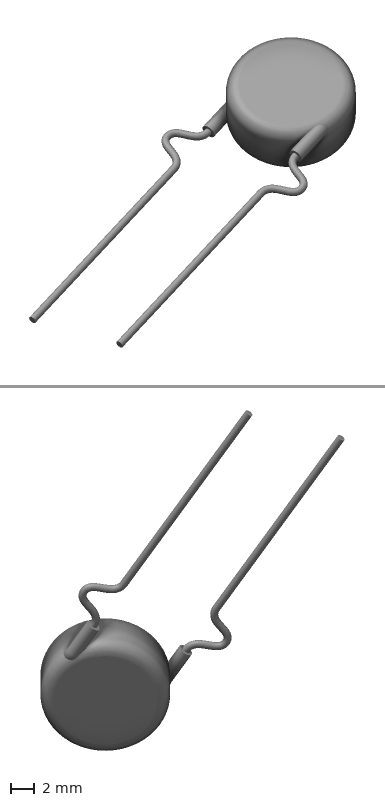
import cadquery as cq

overall_length = 36
overall_width = 14.85

disc_radius = 5.5
disc_height = 5.1
disc_edge_radius = 1.08

sleeve_diameter = 1.25
sleeve_radius = sleeve_diameter / 2
sleeve_length = 3.15
sleeve_bend_radius = 0.65
sleeve_bend_angle = 60
sleeve_end_y = -disc_radius
sleeve_elbow_y = sleeve_end_y + sleeve_length

lead_radius = 0.342
lead_tip_y = disc_radius - overall_length
bend_reach = 2.5
root_handle = 1.73
peak_handle = 1.35
lead_x = overall_width / 2 - lead_radius - bend_reach
lead_z = disc_height / 2 - sleeve_radius

lead_sides = (1, -1)


def make_sleeve(side):
    """Round sleeve along Y whose inner end bends into the disc."""
    elbow_start = (side * lead_x, sleeve_elbow_y, side * lead_z)
    barrel = cq.Workplane(
        cq.Solid.makeCylinder(sleeve_radius, sleeve_length, cq.Vector(*elbow_start), cq.Vector(0, -1, 0))
    )
    axis_offset = -side * sleeve_bend_radius
    elbow = (
        cq.Workplane("XZ", origin=elbow_start)
        .circle(sleeve_radius)
        .revolve(sleeve_bend_angle, (0, axis_offset, 0), (-side, axis_offset, 0))
    )
    return barrel.union(elbow)


def make_housing():
    """Disc with rounded rims, joined to both coating sleeves."""
    housing = cq.Workplane("XY").cylinder(disc_height, disc_radius).edges("%CIRCLE").fillet(disc_edge_radius)
    for side in lead_sides:
        housing = housing.union(make_sleeve(side))
    return housing


def make_lead(side):
    """Round wire that starts on the sleeve's end face, kinks outward and runs straight to its tip."""
    inner_x = side * lead_x
    peak_x = side * (lead_x + bend_reach)
    start_y = sleeve_end_y
    peak_y = start_y - bend_reach
    return_y = peak_y - bend_reach

    path = (
        cq.Workplane("XY", origin=(0, 0, side * lead_z))
        .moveTo(inner_x, start_y)
        .bezier([
            (inner_x, start_y),
            (inner_x, start_y - root_handle),
            (peak_x, peak_y + peak_handle),
            (peak_x, peak_y),
        ])
        .bezier([
            (peak_x, peak_y),
            (peak_x, peak_y - peak_handle),
            (inner_x, return_y + root_handle),
            (inner_x, return_y),
        ])
        .lineTo(inner_x, lead_tip_y)
    )
    section = cq.Workplane("XZ", origin=(inner_x, start_y, side * lead_z)).circle(lead_radius)
    return section.sweep(path)


housing = make_housing()
leads = [make_lead(side) for side in lead_sides]

result = cq.Compound.makeCompound([housing.solids().val(), *[lead.val() for lead in leads]])